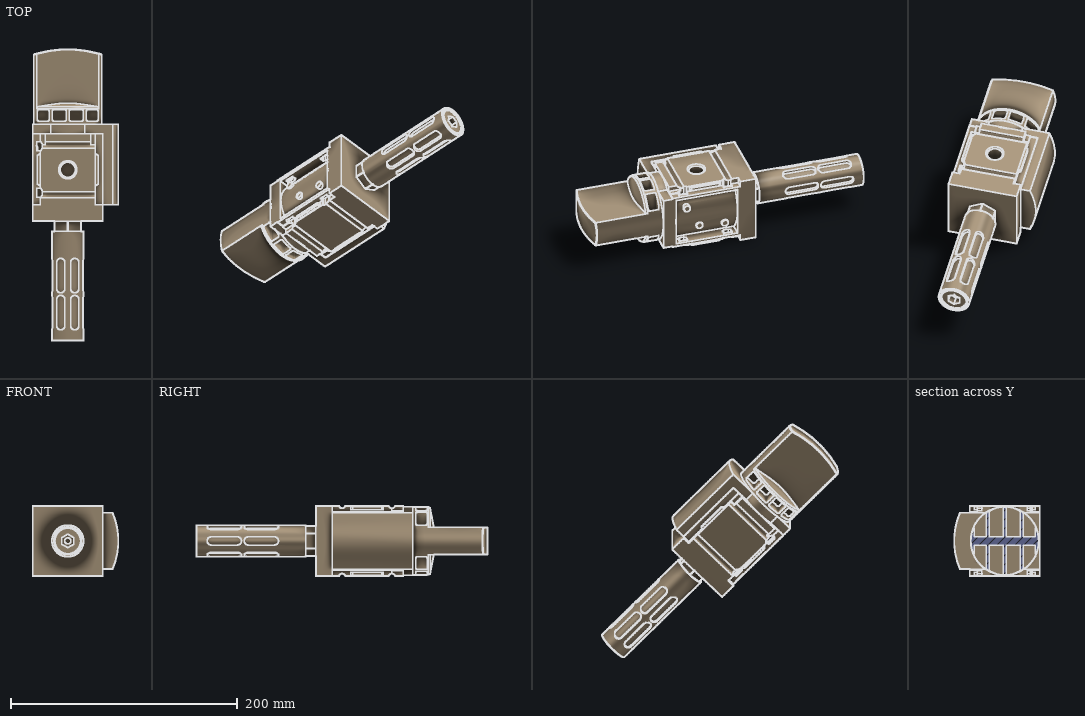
import cadquery as cq
import math


block_side = 62.0
half_side = block_side / 2
side_length = 77.0
collar_end = 85.5
flat_z = 25.0
bump_half_width = 15.2
bump_top = 30.3

module_start = 14.5
module_edge_x = 39.5
module_end_x = 44.7

plate_half_width = 24.5
strip_z = 25.7
corner_z = 26.5
corner_x = 20.0
tab_out = 26.7
tab_low = 27.5
tab_high = 30.3
tab_length = 28.5
tab_slant = 1.5
groove_radius = 2.8
groove_depth = 2.0
groove_centers = (23.0, 67.0)
port_y = 45.2
port_mouth_diameter = 16.0
port_diameter = 13.4
port_depth = 15.5

window_start = 17.0
window_end = 73.7
window_half_height = 22.9
barrel_radius = 30.0
notch_centers = (25.0, 66.0)
notch_length = 7.7
notch_tip_length = 4.0
notch_outer_x = -27.5
notch_inner_x = -23.6
notch_tip_x = -22.5
pin_diameter = 6.0
pin_end_x = -30.3
pin_places = ((63.5, 11.5), (52.0, -8.2), (28.3, -10.5))

knob_diameter = 60.0
knob_radius = knob_diameter / 2
rim_start = 99.0
rim_end = 100.7
rim_radius = 29.3
cone_end = 104.0
grip_half_height = 12.0
grip_edge_end = 147.0
grip_end = 151.5
grip_end_chamfer = 0.5
pocket_start = 88.0
pocket_end = 98.1
pocket_floor_z = 3.9
pocket_spans = ((1.3, 13.5), (16.5, 26.7))
pocket_corner = 1.3

hex_flats = 23.5
hex_corner_diameter = 26.7
hex_length = 9.0
sleeve_diameter = 28.0
core_diameter = 22.5
silencer_length = 105.3
slot_width = 7.2
slot_length = 30.3
slot_centers = (-48.0, -80.7)
slot_offset = 6.2
end_groove_diameter = 24.7
end_groove_depth = 1.0
socket_flats = 10.3
socket_depth = 7.7
bore_diameter = 5.5
bore_depth = 12.8


def box(x0, x1, y0, y1, z0, z1):
    return cq.Workplane("XY").box(x1 - x0, y1 - y0, z1 - z0, centered=False).translate((x0, y0, z0))


def along_y(start):
    """Sketch plane facing +Y at Y = start; its local x axis is -X and its local y axis is Z."""
    return cq.Workplane(cq.Plane(origin=(0, start, 0), xDir=(-1, 0, 0), normal=(0, 1, 0)))


def both_ends(shape):
    """The shape together with its mirror image below the XY plane."""
    return shape.union(shape.mirror("XY"))


def make_block():
    block = box(-half_side, half_side, 0, side_length, -half_side, half_side)
    collar = box(-half_side, half_side, side_length, collar_end, -flat_z, flat_z)
    bump = (
        along_y(side_length)
        .moveTo(-bump_half_width, flat_z)
        .threePointArc((0, bump_top), (bump_half_width, flat_z))
        .lineTo(bump_half_width, 0)
        .lineTo(-bump_half_width, 0)
        .close()
        .extrude(collar_end - side_length)
    )
    return block.union(collar).union(both_ends(bump))


def make_module():
    return (
        along_y(module_start)
        .moveTo(0, -flat_z)
        .lineTo(-module_edge_x, -flat_z)
        .threePointArc((-module_end_x, 0), (-module_edge_x, flat_z))
        .lineTo(0, flat_z)
        .close()
        .extrude(collar_end - module_start)
    )


def plate_cuts():
    """Everything taken off the top of the block to leave the raised plate, except the notches."""
    cuts = box(-half_side, -plate_half_width, module_start, side_length, strip_z, half_side)
    cuts = cuts.union(cuts.mirror("YZ"))
    for x0, x1 in ((-plate_half_width, -corner_x), (corner_x, plate_half_width)):
        cuts = cuts.union(box(x0, x1, groove_centers[1], side_length, corner_z, half_side))
    for y in groove_centers:
        groove = (
            along_y(0).circle(groove_radius).extrude(block_side)
            .rotate((0, 0, 0), (0, 0, 1), 90)
            .translate((half_side, y, half_side - groove_depth + groove_radius))
        )
        cuts = cuts.union(groove)
    return cuts


def plate_tab():
    """Tab with slanted ends on the -X edge of the plate."""
    half_length = tab_length / 2
    return (
        cq.Workplane("XY", origin=(0, port_y, tab_low))
        .moveTo(-plate_half_width, -half_length)
        .lineTo(-tab_out, tab_slant - half_length)
        .lineTo(-tab_out, half_length - tab_slant)
        .lineTo(-plate_half_width, half_length)
        .close()
        .extrude(tab_high - tab_low)
    )


def notch(y):
    """Pointed opening that runs from a strip down into the window."""
    half_length = notch_length / 2
    half_tip = notch_tip_length / 2
    return (
        cq.Workplane("XY", origin=(0, y, 0))
        .polyline([
            (notch_outer_x, -half_length),
            (notch_inner_x, -half_length),
            (notch_tip_x, -half_tip),
            (notch_tip_x, half_tip),
            (notch_inner_x, half_length),
            (notch_outer_x, half_length),
        ])
        .close()
        .extrude(half_side)
    )


def make_port():
    port = cq.Workplane("XY", origin=(0, port_y, half_side)).circle(port_diameter / 2).extrude(-port_depth)
    chamfer = (port_mouth_diameter - port_diameter) / 2
    mouth = (
        cq.Workplane("XY", origin=(0, port_y, half_side))
        .circle(port_mouth_diameter / 2)
        .workplane(offset=-chamfer)
        .circle(port_diameter / 2)
        .loft()
    )
    return port.union(mouth)


def make_window():
    """Pocket on the -X side, with its notches, that goes in as far as the barrel."""
    window = box(-half_side, 0, window_start, window_end, -window_half_height, window_half_height)
    for y in notch_centers:
        window = window.union(both_ends(notch(y)))
    barrel = along_y(0).circle(barrel_radius).extrude(side_length)
    return window.cut(barrel)


def make_pin(y, z):
    return cq.Workplane("YZ", origin=(pin_end_x, y, z)).circle(pin_diameter / 2).extrude(-pin_end_x)


def knob_pockets():
    pockets = None
    for near_x, far_x in pocket_spans:
        pocket = (
            box(near_x, far_x, pocket_start, pocket_end, pocket_floor_z, knob_radius)
            .edges("|Z").fillet(pocket_corner)
        )
        pockets = pocket if pockets is None else pockets.union(pocket)
    return both_ends(pockets.union(pockets.mirror("YZ")))


def make_knob():
    ring = (
        cq.Workplane("XY")
        .moveTo(0, collar_end)
        .lineTo(knob_radius, collar_end)
        .lineTo(knob_radius, rim_start)
        .lineTo(rim_radius, rim_end)
        .lineTo(grip_half_height, cone_end)
        .lineTo(0, cone_end)
        .close()
        .revolve(360, (0, 0, 0), (0, 1, 0))
    )
    end_outline = (
        cq.Workplane("XY", origin=(0, 0, -knob_radius))
        .moveTo(-knob_radius, collar_end)
        .lineTo(knob_radius, collar_end)
        .lineTo(knob_radius, grip_edge_end)
        .threePointArc((0, grip_end), (-knob_radius, grip_edge_end))
        .close()
        .extrude(knob_diameter)
    )
    handle = along_y(collar_end).circle(knob_radius).extrude(grip_end - collar_end).intersect(end_outline)
    above_grip = box(-knob_radius, knob_radius, collar_end, grip_end, grip_half_height, knob_radius)
    handle = handle.cut(both_ends(above_grip.cut(ring)))
    return handle.faces(">Y").chamfer(grip_end_chamfer).cut(knob_pockets())


def make_valve():
    valve = make_block().union(make_module()).cut(both_ends(plate_cuts()))
    valve = valve.union(both_ends(plate_tab().union(plate_tab().mirror("YZ"))))
    valve = valve.cut(make_window()).cut(make_port())
    for y, z in pin_places:
        valve = valve.union(make_pin(y, z))
    return valve.union(make_knob())


def hexagon(start, flats, length):
    """Hexagonal prism from Y = start toward +Y, with two corners on the Z axis."""
    corner_diameter = flats / math.cos(math.pi / 6)
    return along_y(start).polygon(6, corner_diameter).extrude(length).rotate((0, 0, 0), (0, 1, 0), 30)


def slot_tool(y):
    """Upright slot cutter above the core."""
    return (
        cq.Workplane("XY", origin=(0, y, 0))
        .slot2D(slot_length, slot_width, 90)
        .extrude(sleeve_diameter)
    )


def silencer_slots():
    slots = None
    for y in slot_centers:
        upper = both_ends(slot_tool(y).translate((slot_offset, 0, 0)))
        side = slot_tool(y).rotate((0, 0, 0), (0, 1, 0), 90)
        group = upper.union(side)
        group = group.union(group.mirror("YZ"))
        slots = group if slots is None else slots.union(group)
    return slots


def make_silencer():
    sleeve = along_y(-silencer_length).circle(sleeve_diameter / 2).extrude(silencer_length - hex_length)
    nut = hexagon(-hex_length, hex_flats, hex_length)
    turned_corners = along_y(-hex_length).circle(hex_corner_diameter / 2).extrude(hex_length)
    core = along_y(-silencer_length).circle(core_diameter / 2).extrude(silencer_length)
    end_groove = (
        along_y(-silencer_length)
        .circle(end_groove_diameter / 2)
        .workplane(offset=end_groove_depth)
        .circle(core_diameter / 2)
        .loft()
        .cut(core)
    )
    bore = along_y(-silencer_length).circle(bore_diameter / 2).extrude(bore_depth)
    silencer = sleeve.union(nut.intersect(turned_corners)).cut(silencer_slots().cut(core)).cut(end_groove)
    return silencer.cut(hexagon(-silencer_length, socket_flats, socket_depth)).cut(bore)


valve = make_valve()
silencer = make_silencer()
result = cq.Compound.makeCompound([valve.solids().val(), silencer.solids().val()])